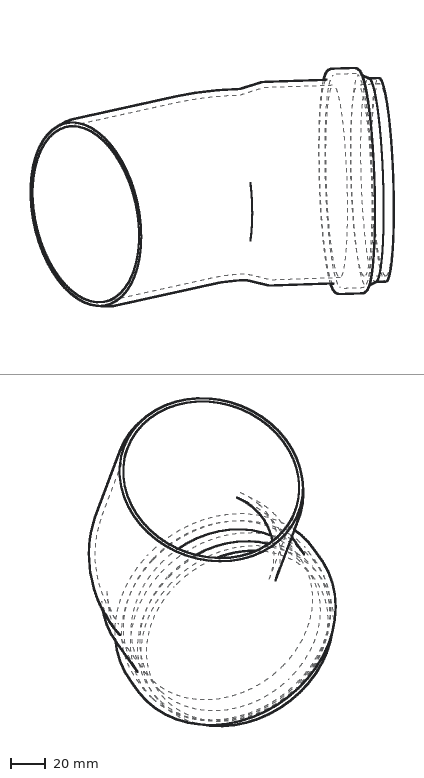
import cadquery as cq
import math

spigot_diameter = 110.2
bore_diameter = 103.0
spigot_tip_diameter = 107.3
spigot_chamfer_length = 5.5
spigot_length = 79.1

bend_angle = 30.0
bend_radius = 52.3

socket_length = 82.5
socket_outer_diameter = 117.5
socket_inner_diameter = 110.8
socket_wall = (socket_outer_diameter - socket_inner_diameter) / 2
collar_length = 1.5
cone_end = 14.6
inner_cone_end = 15.7

bead_diameter = 130.0
bead_start = 52.5
bead_end = 71.0
bead_round = 2.9
bead_root_round = 1.0
neck_end = 76.5
neck_flare = 2.5

groove_end = 70.0
groove_round = 1.6
lip_diameter = 110.2
lip_end = 72.5

spigot_radius = spigot_diameter / 2
bore_radius = bore_diameter / 2
socket_outer_radius = socket_outer_diameter / 2
socket_inner_radius = socket_inner_diameter / 2
bead_radius = bead_diameter / 2
groove_radius = bead_radius - socket_wall
groove_start = bead_start + socket_wall
lip_radius = lip_diameter / 2


def spigot_outside():
    """Cylinder with a tapered tip."""
    profile = [
        (0, 0),
        (spigot_tip_diameter / 2, 0),
        (spigot_radius, spigot_chamfer_length),
        (spigot_radius, spigot_length),
        (0, spigot_length),
    ]
    return cq.Workplane("XY").polyline(profile).close().revolve(360, (0, 0), (0, 1))


def spigot_bore():
    return cq.Workplane("XZ").circle(bore_radius).extrude(-spigot_length)


def bend(radius):
    """Round bar along the bend arc; a section reaching past the bend axis is cut off there."""
    half_chord = math.sqrt(max(radius**2 - bend_radius**2, 0))
    section = cq.Workplane("XZ", origin=(0, spigot_length, 0))
    if half_chord > 0:
        section = (
            section.moveTo(bend_radius, -half_chord)
            .threePointArc((-radius, 0), (bend_radius, half_chord))
            .close()
        )
    else:
        section = section.circle(radius)
    return section.revolve(bend_angle, (bend_radius, 2), (bend_radius, 0))


def place_socket(body):
    """Move a body built along +Y from the origin onto the end of the bend."""
    angle = math.radians(bend_angle)
    bend_end_x = bend_radius * (1 - math.cos(angle))
    bend_end_y = spigot_length + bend_radius * math.sin(angle)
    return body.rotate((0, 0, 0), (0, 0, 1), -bend_angle).translate((bend_end_x, bend_end_y, 0))


def socket_outside():
    """Collar, cone, sleeve, rounded bead, flared neck and rim."""
    outline = (
        cq.Workplane("XY")
        .lineTo(spigot_radius, 0)
        .lineTo(spigot_radius, collar_length)
        .lineTo(socket_outer_radius, cone_end)
        .lineTo(socket_outer_radius, bead_start - bead_root_round)
        .radiusArc((socket_outer_radius + bead_root_round, bead_start), bead_root_round)
        .lineTo(bead_radius - bead_round, bead_start)
        .radiusArc((bead_radius, bead_start + bead_round), -bead_round)
        .lineTo(bead_radius, bead_end - bead_round)
        .radiusArc((bead_radius - bead_round, bead_end), -bead_round)
        .lineTo(socket_outer_radius + neck_flare, bead_end)
        .lineTo(socket_outer_radius, neck_end)
        .lineTo(socket_outer_radius, socket_length)
        .lineTo(0, socket_length)
        .close()
    )
    return place_socket(outline.revolve(360, (0, 0), (0, 1)))


def socket_cavity():
    """Bore widening into the socket, with the seal groove inside the bead."""
    outline = (
        cq.Workplane("XY")
        .lineTo(bore_radius, 0)
        .lineTo(bore_radius, collar_length)
        .lineTo(socket_inner_radius, inner_cone_end)
        .lineTo(socket_inner_radius, groove_start)
        .lineTo(groove_radius - groove_round, groove_start)
        .radiusArc((groove_radius, groove_start + groove_round), -groove_round)
        .lineTo(groove_radius, groove_end - groove_round)
        .radiusArc((groove_radius - groove_round, groove_end), -groove_round)
        .lineTo(lip_radius, groove_end)
        .lineTo(lip_radius, lip_end)
        .lineTo(socket_inner_radius, socket_length)
        .lineTo(0, socket_length)
        .close()
    )
    return place_socket(outline.revolve(360, (0, 0), (0, 1)))


outside = spigot_outside().union(bend(spigot_radius)).union(socket_outside())
inside = spigot_bore().union(bend(bore_radius)).union(socket_cavity())
result = outside.cut(inside)